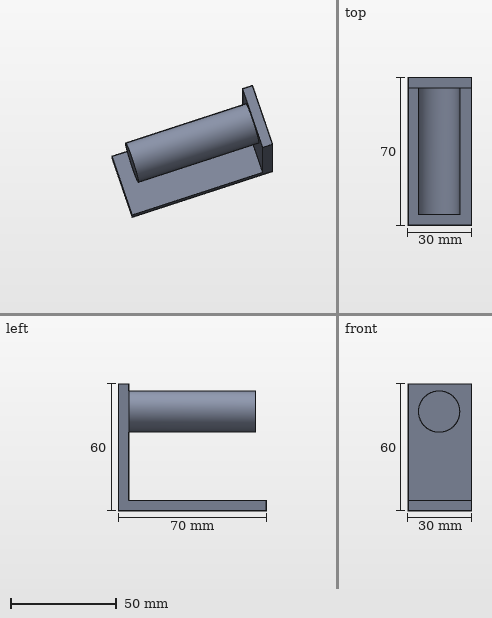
import cadquery as cq

width = 30.0
depth = 70.0
height = 60.0
thickness = 5.0

pin_diameter = 19.5
pin_length = 60.0
pin_side_margin = 4.9
pin_top_margin = 3.3

pin_radius = pin_diameter / 2
pin_x = pin_side_margin + pin_radius
pin_z = height - pin_top_margin - pin_radius
upright_face_y = depth - thickness


def make_bracket():
    """L-shaped bracket: a base plate with an upright plate at its +Y end."""
    base = cq.Workplane("XY").box(width, depth, thickness, centered=False)
    upright = (
        cq.Workplane("XY")
        .box(width, thickness, height, centered=False)
        .translate((0, upright_face_y, 0))
    )
    return base.union(upright)


def make_pin():
    """Pin running toward -Y, rooted inside the upright plate."""
    return (
        cq.Workplane("XZ", origin=(pin_x, depth, pin_z))
        .circle(pin_radius)
        .extrude(thickness + pin_length)
    )


result = make_bracket().union(make_pin())